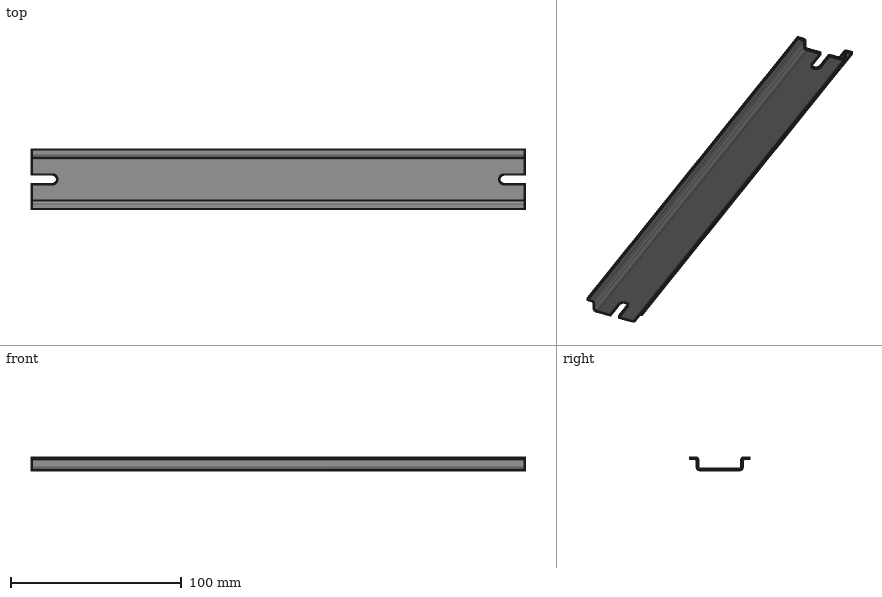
import cadquery as cq

length = 289.0
width = 35.0
height = 7.5
sheet = 1.0

channel_width = 27.0
half_outer = channel_width / 2
half_inner = half_outer - sheet

lip_under_radius = 0.8
lip_top_radius = lip_under_radius + sheet

base_inner_radius = 0.5
base_outer_radius = 2.0

slot_width = 5.5
slot_depth = 15.0


def hat_profile():
    """Closed hat outline in the YZ plane, centred on Y, with the base at Z = 0."""
    half_width = width / 2
    lip_underside = height - sheet
    return (
        cq.Workplane("YZ")
        .moveTo(-half_outer, 0)
        .lineTo(half_outer, 0)
        .lineTo(half_outer, lip_underside)
        .lineTo(half_width, lip_underside)
        .lineTo(half_width, height)
        .lineTo(half_inner, height)
        .lineTo(half_inner, sheet)
        .lineTo(-half_inner, sheet)
        .lineTo(-half_inner, height)
        .lineTo(-half_width, height)
        .lineTo(-half_width, lip_underside)
        .lineTo(-half_outer, lip_underside)
        .close()
    )


def round_edge_pair(body, y, z, radius):
    """Fillet the two lengthwise edges lying at +y and -y at height z."""
    for edge_y in (y, -y):
        edge = cq.NearestToPointSelector((0, edge_y, z))
        body = body.edges(edge).fillet(radius)
    return body


def make_rail():
    """Extrude the hat profile along X and round both sides of every bend."""
    body = hat_profile().extrude(length / 2, both=True)
    body = round_edge_pair(body, half_outer, 0, base_outer_radius)
    body = round_edge_pair(body, half_inner, sheet, base_inner_radius)
    body = round_edge_pair(body, half_inner, height, lip_top_radius)
    body = round_edge_pair(body, half_outer, height - sheet, lip_under_radius)
    return body


def end_slot(side):
    """Slot cutter with a round inner end, open through the end at side = +1 or -1."""
    return (
        cq.Workplane("XY")
        .center(side * length / 2, 0)
        .slot2D(2 * slot_depth, slot_width)
        .extrude(height)
    )


result = make_rail()
for end_side in (-1, 1):
    result = result.cut(end_slot(end_side))